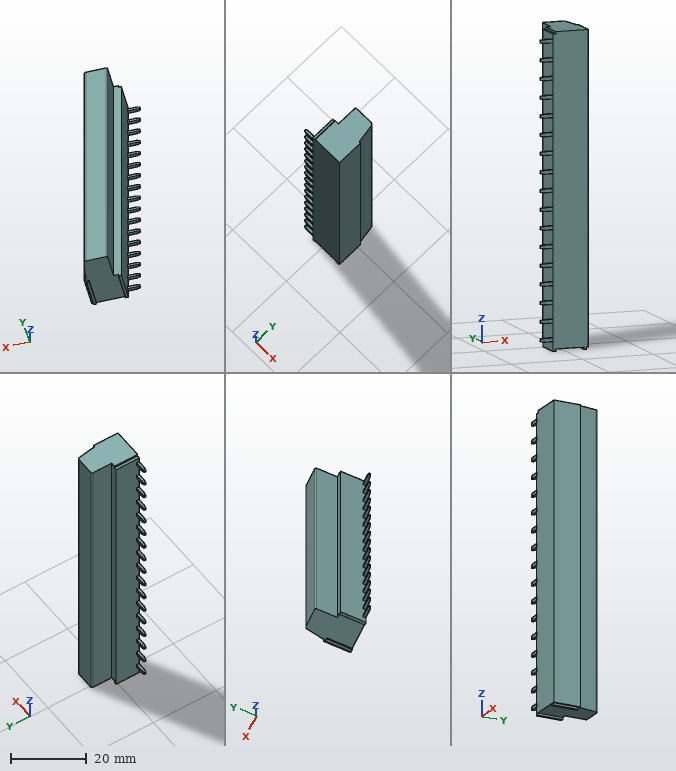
import cadquery as cq

POLE_COUNT = 17
POLE_PITCH = 5.0
BODY_LENGTH = POLE_COUNT * POLE_PITCH

BODY_WIDTH = 10.0
BODY_DEPTH = 13.8
STEP_WIDTH = 2.1
STEP_DEPTH = 7.4
SHOULDER_WIDTH = 0.5
SHOULDER_DEPTH = 7.8
SLOPE_SHIFT = 1.0
CROWN_STEP_RADIUS = 0.4
CROWN_SLOPE_RADIUS = 0.7

LEDGE_WIDTH = 0.8
INTERLOCK_HEIGHT = 0.6
TAB_WIDTH = 0.8
TAB_EDGE_GAP = 0.5

PIN_WIDTH = 1.0
PIN_THICKNESS = 0.8
PIN_LENGTH = 3.35
PIN_TIP_LENGTH = 0.9
PIN_TIP_TAPER = 0.15
PIN_EDGE_GAP = 0.1
PIN_EMBED = 1.0


def make_body():
    """Stepped housing profile, extruded over all poles, with a rounded crown."""
    shoulder_x = BODY_WIDTH - SHOULDER_WIDTH
    outline = [
        (0, 0),
        (BODY_WIDTH, 0),
        (BODY_WIDTH, SHOULDER_DEPTH),
        (shoulder_x, SHOULDER_DEPTH),
        (shoulder_x - SLOPE_SHIFT, BODY_DEPTH),
        (STEP_WIDTH, BODY_DEPTH),
        (STEP_WIDTH, STEP_DEPTH),
        (0, STEP_DEPTH),
    ]
    body = cq.Workplane("XY").polyline(outline).close().extrude(BODY_LENGTH)
    body = body.faces(">Y").edges("|Z and <X").fillet(CROWN_STEP_RADIUS)
    return body.faces(">Y").edges("|Z and >X").fillet(CROWN_SLOPE_RADIUS)


def make_end_strip(x, z, width):
    """Interlock-high strip along Y, from the -Y face to the step, with its underside at z."""
    strip = cq.Workplane("XY").box(width, STEP_DEPTH, INTERLOCK_HEIGHT, centered=False)
    return strip.translate((x, 0, z))


def make_pin(z):
    """Rectangular pin pointing to -X, rooted inside the housing, with a tapered tip."""
    center_y = PIN_EDGE_GAP + PIN_THICKNESS / 2
    tip_thickness = PIN_THICKNESS - 2 * PIN_TIP_TAPER
    tip_width = PIN_WIDTH - 2 * PIN_TIP_TAPER
    shank_end = PIN_TIP_LENGTH - PIN_LENGTH
    shank = (
        cq.Workplane("YZ", origin=(shank_end, center_y, z))
        .rect(PIN_THICKNESS, PIN_WIDTH)
        .extrude(PIN_EMBED - shank_end)
    )
    tip = (
        cq.Workplane("YZ", origin=(-PIN_LENGTH, center_y, z))
        .rect(tip_thickness, tip_width)
        .workplane(offset=PIN_TIP_LENGTH)
        .rect(PIN_THICKNESS, PIN_WIDTH)
        .loft()
    )
    return shank.union(tip)


result = make_body()

result = result.cut(make_end_strip(0, BODY_LENGTH - INTERLOCK_HEIGHT, LEDGE_WIDTH))
result = result.union(make_end_strip(0, -INTERLOCK_HEIGHT, LEDGE_WIDTH))

tab_x = BODY_WIDTH - TAB_EDGE_GAP - TAB_WIDTH
result = result.union(make_end_strip(tab_x, -INTERLOCK_HEIGHT, TAB_WIDTH))

for pole in range(POLE_COUNT):
    result = result.union(make_pin((pole + 0.5) * POLE_PITCH))